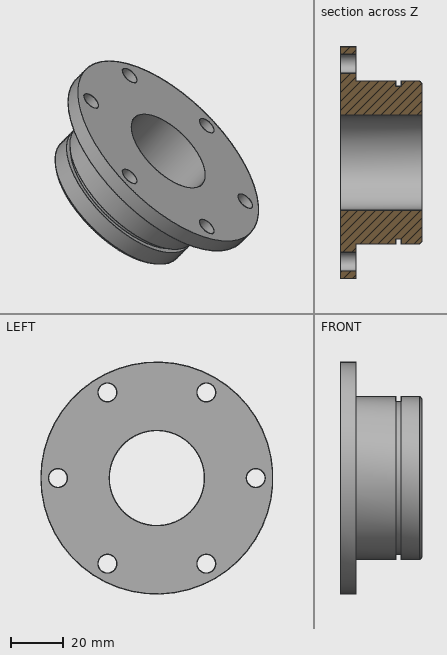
import cadquery as cq

flange_diameter = 88.0
flange_thickness = 6.0
total_length = 31.0
hub_diameter = 61.95
bore_diameter = 36.0

groove_start = 21.0
groove_width = 2.0
groove_diameter = 58.1

chamfer_size = 1.0

bolt_count = 6
bolt_hole_diameter = 7.0
bolt_circle_diameter = 75.0


def cylinder(diameter, start, length):
    """Solid cylinder along +X, beginning at the given X position."""
    return cq.Workplane("YZ", origin=(start, 0, 0)).circle(diameter / 2).extrude(length)


def groove_ring():
    """Ring of material removed to form the groove."""
    outer = cylinder(flange_diameter, groove_start, groove_width)
    return outer.cut(cylinder(groove_diameter, groove_start, groove_width))


def bolt_holes():
    """Cylinders evenly spaced on the bolt circle, the first on the Y axis."""
    return (
        cq.Workplane("YZ")
        .polarArray(bolt_circle_diameter / 2, 0, 360, bolt_count)
        .circle(bolt_hole_diameter / 2)
        .extrude(flange_thickness)
    )


flange = cylinder(flange_diameter, 0, flange_thickness)
hub = cylinder(hub_diameter, 0, total_length).faces(">X").chamfer(chamfer_size)

result = (
    flange.union(hub)
    .cut(groove_ring())
    .cut(cylinder(bore_diameter, 0, total_length))
    .cut(bolt_holes())
)